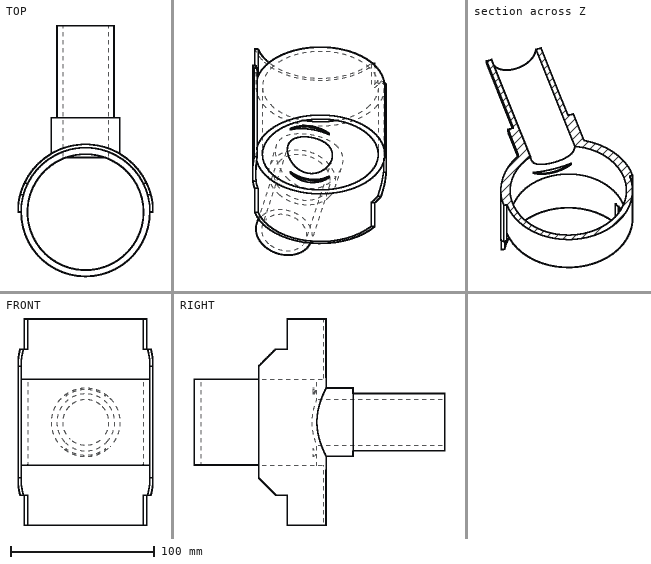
import cadquery as cq

overall_length = 175.0
ring_radius = 45.0
ring_bore_radius = 40.5
ring_height = 60.0

saddle_radius = 47.2
saddle_width = 94.0
saddle_height = 144.0
saddle_wing_height = 102.0
saddle_wing_chamfer = 12.0
saddle_neck_edge_y = 20.0

pipe_diameter = 40.0
pipe_bore_diameter = 32.0
collar_diameter = 48.0
collar_lip_inner_diameter = 46.0
collar_inner_y = 38.0
collar_outer_y = 66.0

pipe_end_y = overall_length - ring_radius


def upright_cylinder(radius, height):
    """Cylinder along Z, centred on the origin."""
    return cq.Workplane("XY", origin=(0, 0, -height / 2)).circle(radius).extrude(height)


def cylinder_along_y(diameter, start_y, end_y):
    """Cylinder on the Y axis between two Y positions."""
    return (
        cq.Workplane("XZ", origin=(0, start_y, 0))
        .circle(diameter / 2)
        .extrude(start_y - end_y)
    )


def make_saddle():
    """Half shell hugging the ring, with flat-trimmed, chamfered wings and a narrower neck at each end."""
    shell = upright_cylinder(saddle_radius, saddle_height).cut(upright_cylinder(ring_radius, saddle_height))
    half_height = saddle_height / 2
    wing_top = saddle_wing_height / 2
    chamfer_bottom = wing_top - saddle_wing_chamfer
    side_profile = (
        cq.Workplane("YZ", origin=(-saddle_width / 2, 0, 0))
        .moveTo(saddle_radius, -half_height)
        .lineTo(saddle_neck_edge_y, -half_height)
        .lineTo(saddle_neck_edge_y, -wing_top)
        .lineTo(saddle_wing_chamfer, -wing_top)
        .lineTo(0, -chamfer_bottom)
        .lineTo(0, chamfer_bottom)
        .lineTo(saddle_wing_chamfer, wing_top)
        .lineTo(saddle_neck_edge_y, wing_top)
        .lineTo(saddle_neck_edge_y, half_height)
        .lineTo(saddle_radius, half_height)
        .close()
        .extrude(saddle_width)
    )
    return shell.intersect(side_profile)


ring = upright_cylinder(ring_radius, ring_height).cut(upright_cylinder(ring_bore_radius, ring_height))
body = ring.union(make_saddle())

collar = cylinder_along_y(collar_diameter, collar_inner_y, collar_outer_y)
lip_relief = cylinder_along_y(collar_lip_inner_diameter, collar_inner_y, collar_outer_y).intersect(
    upright_cylinder(ring_bore_radius, ring_height)
)
collar = collar.cut(lip_relief)

pipe = cylinder_along_y(pipe_diameter, ring_radius, pipe_end_y)
pipe_bore = cylinder_along_y(pipe_bore_diameter, 0, pipe_end_y)

result = body.union(collar).union(pipe).cut(pipe_bore)